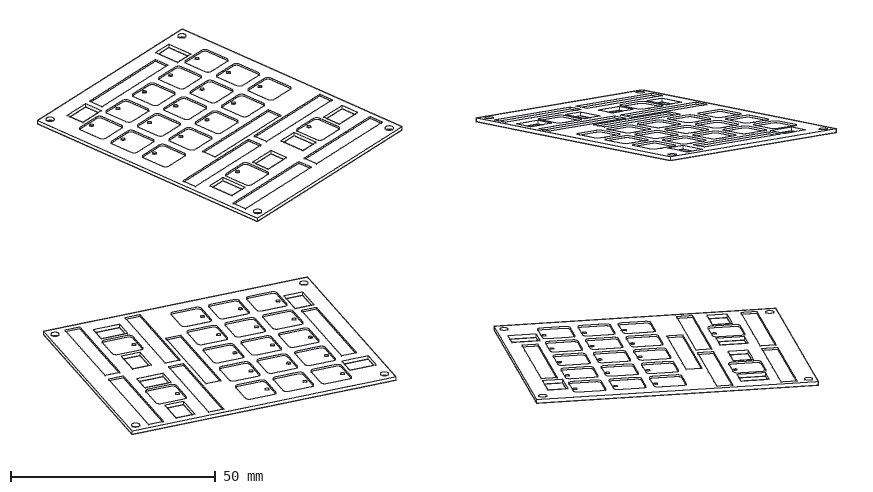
import cadquery as cq

plate_length = 70.0
plate_width = 55.0
plate_thickness = 1.0

recess_depth = 0.5

mount_hole_diameter = 2.0
mount_spacing_x = 66.0
mount_spacing_y = 50.05

key_size = 8.05
key_corner_radius = 1.05
key_pitch = 10.0
key_columns = 3
key_rows = 5
key_grid_center_x = -11.0
key_hole_diameter = 1.0
key_hole_offset_x = -3.0

groove_width = 4.0
groove_length = 25.0

window_long = 7.0
window_short = 5.0

left_groove_x = -29.0
inner_groove_x = 7.0
left_windows_right_edge = -26.0
left_window_y = 17.5

group_center_x = 20.0
group_center_y = 13.5
group_groove_offset_x = 8.0
upper_window_offset_y = 8.55
lower_window_offset_y = -7.5

group_centers = [(group_center_x, side * group_center_y) for side in (1, -1)]


def through_holes(points, diameter):
    return cq.Workplane("XY").pushPoints(points).circle(diameter / 2).extrude(plate_thickness)


def through_windows(points, size_x, size_y):
    return cq.Workplane("XY").pushPoints(points).rect(size_x, size_y).extrude(plate_thickness)


def recesses(points, size_x, size_y):
    floor = cq.Workplane("XY").workplane(offset=plate_thickness - recess_depth)
    return floor.pushPoints(points).rect(size_x, size_y).extrude(recess_depth)


plate = cq.Workplane("XY").box(plate_length, plate_width, plate_thickness, centered=(True, True, False))

mount_points = [(sx * mount_spacing_x / 2, sy * mount_spacing_y / 2) for sx in (1, -1) for sy in (1, -1)]
plate = plate.cut(through_holes(mount_points, mount_hole_diameter))

key_centers = [
    (key_grid_center_x + (column - (key_columns - 1) / 2) * key_pitch, (row - (key_rows - 1) / 2) * key_pitch)
    for column in range(key_columns)
    for row in range(key_rows)
]
key_centers += group_centers
key_hole_points = [(x + key_hole_offset_x, y) for x, y in key_centers]
key_pockets = recesses(key_centers, key_size, key_size).edges("|Z").fillet(key_corner_radius)
plate = plate.cut(key_pockets)
plate = plate.cut(through_holes(key_hole_points, key_hole_diameter))

groove_centers = [(left_groove_x, 0), (inner_groove_x, 0)]
groove_centers += [(x + side * group_groove_offset_x, y) for x, y in group_centers for side in (1, -1)]
plate = plate.cut(recesses(groove_centers, groove_width, groove_length))

lying_windows = [(left_windows_right_edge - window_long / 2, left_window_y)]
lying_windows += [(x, y + lower_window_offset_y) for x, y in group_centers]
upright_windows = [(left_windows_right_edge - window_short / 2, -left_window_y)]
upright_windows += [(x, y + upper_window_offset_y) for x, y in group_centers]
plate = plate.cut(through_windows(lying_windows, window_long, window_short))
plate = plate.cut(through_windows(upright_windows, window_short, window_long))

result = plate